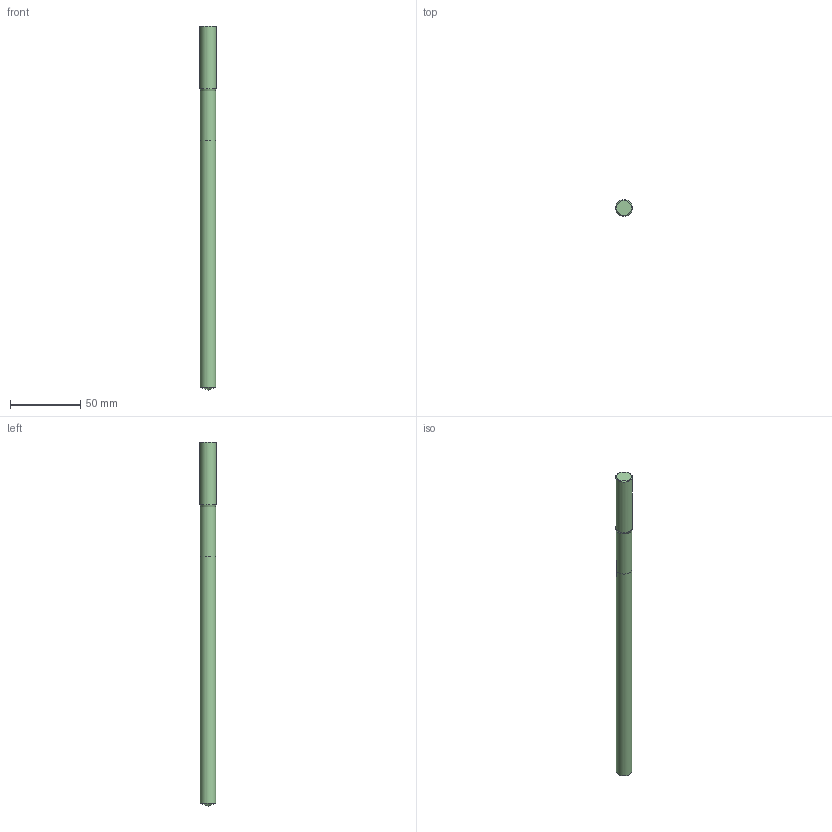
import cadquery as cq
import math

overall_length = 260
shank_diameter = 12
shank_length = 45
shank_top_chamfer = 0.6
neck_diameter = 11
shoulder_length = 1.33
holder_length = 81.5
rod_diameter = neck_diameter
point_angle = 140

shank_radius = shank_diameter / 2
neck_radius = neck_diameter / 2
rod_radius = rod_diameter / 2
shank_bottom = overall_length - shank_length
shoulder_bottom = shank_bottom - shoulder_length
joint_height = overall_length - holder_length
point_height = rod_radius / math.tan(math.radians(point_angle / 2))


def make_holder():
    """Shank, conical shoulder and neck turned about Z."""
    return (
        cq.Workplane("XZ")
        .moveTo(0, joint_height)
        .lineTo(neck_radius, joint_height)
        .lineTo(neck_radius, shoulder_bottom)
        .lineTo(shank_radius, shank_bottom)
        .lineTo(shank_radius, overall_length - shank_top_chamfer)
        .lineTo(shank_radius - shank_top_chamfer, overall_length)
        .lineTo(0, overall_length)
        .close()
        .revolve(360, (0, 0, 0), (0, 1, 0))
    )


def make_rod():
    """Round rod with a conical point, ending flush against the neck."""
    return (
        cq.Workplane("XZ")
        .moveTo(0, 0)
        .lineTo(rod_radius, point_height)
        .lineTo(rod_radius, joint_height)
        .lineTo(0, joint_height)
        .close()
        .revolve(360, (0, 0, 0), (0, 1, 0))
    )


holder = make_holder()
rod = make_rod()

result = cq.Compound.makeCompound([holder.val(), rod.val()])